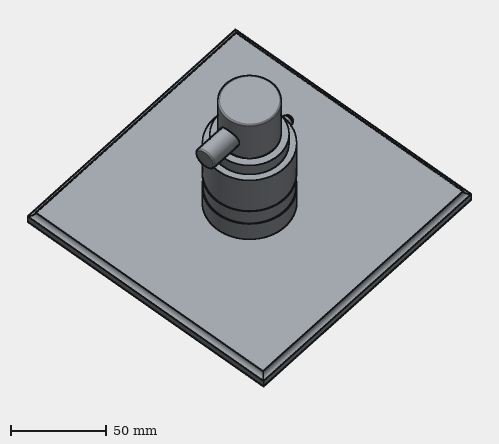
import cadquery as cq
import math

plate_side = 165.1
plate_height = 7.8
cove_radius = 3.0

total_height = 95.5
base_radius = 25.0
base_top = 21.0
band_radius = 24.5
band_top = 31.5
body_radius = 24.8
body_top = 58.3
collar_radius = 20.8
collar_top = 66.0
knob_radius = 16.7
knob_edge_round = 0.8

lever_radius = 6.5
lever_reach = 35.5
lever_axis_height = 79.0
lever_end_round = 0.8

pin_radius = 3.1
pin_reach = 32.0
pin_axis_height = 48.2
pin_tip_radius = 2.5
pin_taper_length = 1.5


def disc(radius, bottom, top):
    """Vertical cylinder on the Z axis between two heights."""
    return cq.Workplane("XY").workplane(offset=bottom).circle(radius).extrude(top - bottom)


def make_cove_cutter():
    """Round bar along the top edge of the plate on the -Y side."""
    return (
        cq.Workplane("YZ")
        .workplane(offset=-plate_side / 2)
        .center(-plate_side / 2, plate_height)
        .circle(cove_radius)
        .extrude(plate_side)
    )


def make_plate():
    plate = cq.Workplane("XY").rect(plate_side, plate_side).extrude(plate_height)
    cutter = make_cove_cutter()
    for quarter_turn in range(4):
        plate = plate.cut(cutter.rotate((0, 0, 0), (0, 0, 1), 90 * quarter_turn))
    return plate


def make_stack():
    base = disc(base_radius, plate_height, base_top)
    band = disc(band_radius, base_top, band_top)
    body = disc(body_radius, band_top, body_top)
    collar = disc(collar_radius, body_top, collar_top)
    knob = disc(knob_radius, collar_top, total_height).faces("<Z or >Z").edges().fillet(knob_edge_round)
    return base.union(band).union(body).union(collar).union(knob)


def radial_bar(radius, reach, axis_height, direction):
    """Horizontal round bar from the Z axis along +Y (direction 1) or -Y (direction -1)."""
    return cq.Workplane("XZ").center(0, axis_height).circle(radius).extrude(-direction * reach)


def make_lever():
    bar = radial_bar(lever_radius, lever_reach, lever_axis_height, -1)
    return bar.faces("<Y").edges().fillet(lever_end_round)


def make_pin():
    """Stop pin whose tip tapers to a smaller flat end."""
    shank_reach = pin_reach - pin_taper_length
    shank = radial_bar(pin_radius, shank_reach, pin_axis_height, 1)
    taper_angle = math.degrees(math.atan2(pin_radius - pin_tip_radius, pin_taper_length))
    tip = (
        cq.Workplane("XZ", origin=(0, shank_reach, 0))
        .center(0, pin_axis_height)
        .circle(pin_radius)
        .extrude(-pin_taper_length, taper=taper_angle)
    )
    return shank.union(tip)


result = make_plate().union(make_stack()).union(make_lever()).union(make_pin())